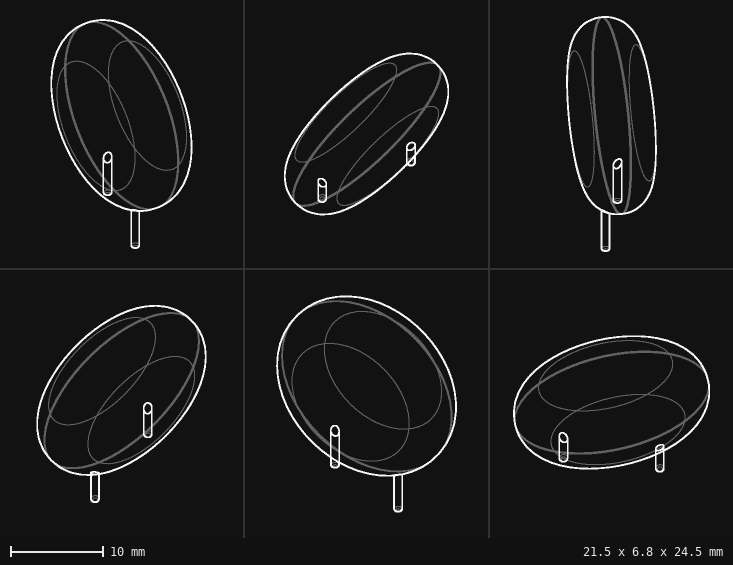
import cadquery as cq

disc_diameter = 21.5
disc_thickness = 6.8
rim_fillet = 3.317

lead_diameter = 0.9
lead_pitch_x = 10.0
lead_pitch_y = 3.3
lead_protrusion = 3.03
lead_tip_fillet = 0.18

lead_bottom_z = -disc_diameter / 2 - lead_protrusion
lead_top_z = 0.0


def make_disc():
    """Round disc with both rim edges rounded."""
    disc = cq.Workplane("XZ").circle(disc_diameter / 2).extrude(disc_thickness / 2, both=True)
    return disc.edges("%CIRCLE").fillet(rim_fillet)


def make_lead(x, y):
    """Round wire running down from inside the disc, with a rounded tip."""
    lead = (
        cq.Workplane("XY", origin=(x, y, lead_bottom_z))
        .circle(lead_diameter / 2)
        .extrude(lead_top_z - lead_bottom_z)
    )
    return lead.faces("<Z").edges().fillet(lead_tip_fillet)


result = make_disc()
for side in (-1, 1):
    result = result.union(make_lead(side * lead_pitch_x / 2, -side * lead_pitch_y / 2))